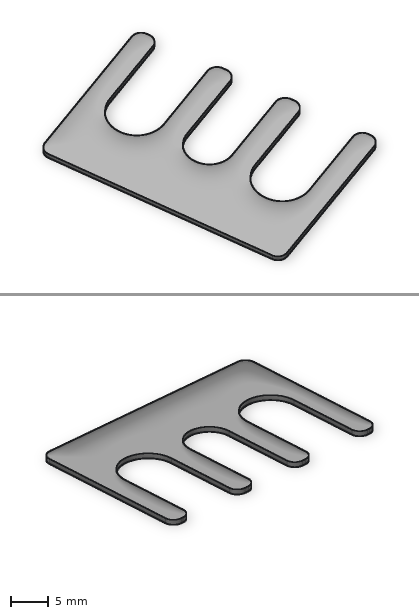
import cadquery as cq

width = 38.1
depth = 25.4
thickness = 0.8
corner_radius = 1.5

slot_center_y = depth / 2
outer_slot_width = 8.57
middle_slot_width = 7.15
outer_slot_x = 11.43


def open_slot(center_x, slot_width):
    """Round-bottomed slot that runs out through the upper edge of the plate."""
    radius = slot_width / 2
    return (
        cq.Workplane("XY")
        .moveTo(center_x - radius, depth)
        .lineTo(center_x - radius, slot_center_y)
        .threePointArc(
            (center_x, slot_center_y - radius),
            (center_x + radius, slot_center_y),
        )
        .lineTo(center_x + radius, depth)
        .close()
        .extrude(thickness)
    )


plate = cq.Workplane("XY").box(width, depth, thickness, centered=(True, False, False))

slots = [
    (-outer_slot_x, outer_slot_width),
    (0, middle_slot_width),
    (outer_slot_x, outer_slot_width),
]
for center_x, slot_width in slots:
    plate = plate.cut(open_slot(center_x, slot_width))

lower_corners = cq.selectors.BoxSelector((-width, -0.4, -0.4), (width, 0.4, thickness + 0.4))
finger_tips = cq.selectors.BoxSelector((-width, depth - 0.4, -0.4), (width, depth + 0.4, thickness + 0.4))
result = plate.edges("|Z").edges(lower_corners + finger_tips).fillet(corner_radius)